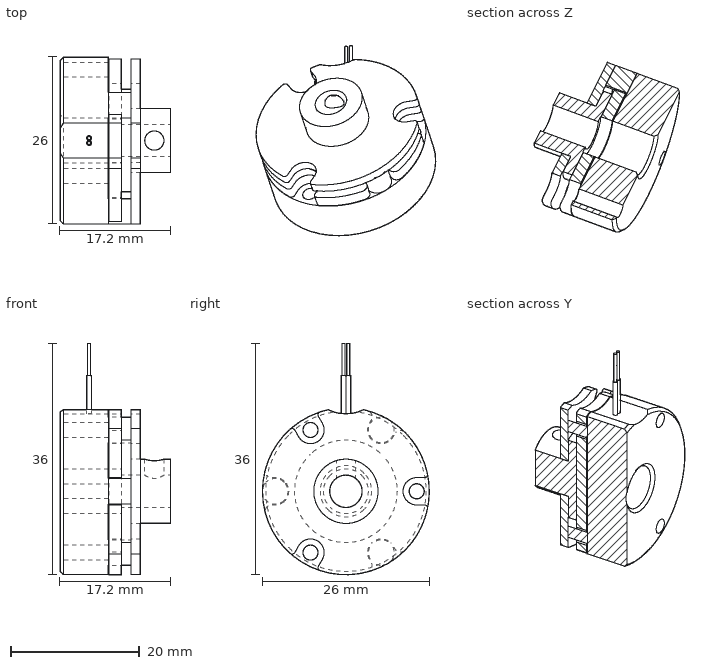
import cadquery as cq
import math


housing_length = 7.5
air_gap = 0.1
armature_back = 9.5
plate_front = 11.0
plate_back = 12.5
hub_end = 17.17

outer_radius = 13.0
bolt_radius = 11.0
bolt_angles = [0, 120, 240]
spacer_angles = [60, 180, 300]

groove_radius = 6.0
groove_axis_z = 18.07

housing_chamfer = 0.5
housing_bore_diameter = 7.0
bolt_hole_diameter = 2.3

slot_half_width = 2.12
bolt_slot_fillet = 0.5
spacer_slot_fillet = 1.0

spacer_diameter = 4.0

disc_diameter = 16.0
hub_diameter = 10.0
shaft_bore_diameter = 5.0
set_screw_diameter = 3.0
set_screw_x = 14.65

sleeve_diameter = 0.75
core_diameter = 0.5
wire_x = 4.5
sleeve_top = 18.0
core_top = 36 - outer_radius


def disc(start, end, radius):
    """Cylinder on the brake axis between two stations."""
    return cq.Workplane("YZ", origin=(start, 0, 0)).circle(radius).extrude(end - start)


def polar(radius, angle):
    """Y and Z of a point at an angle from +Y."""
    return radius * math.cos(math.radians(angle)), radius * math.sin(math.radians(angle))


def cable_groove():
    """Cutter for the shallow groove along the top."""
    groove = cq.Workplane("YZ").center(0, groove_axis_z).circle(groove_radius)
    return groove.extrude(plate_back)


def rim_slot(angle, fillet):
    """Cutter for a round-bottomed radial slot with its mouth rounded into the rim."""
    mouth_angle = math.asin((slot_half_width + fillet) / (outer_radius - fillet))
    fillet_depth = (outer_radius - fillet) * math.cos(mouth_angle)
    fillet_side = slot_half_width + fillet
    rim_depth = outer_radius * math.cos(mouth_angle)
    rim_side = outer_radius * math.sin(mouth_angle)
    half_turn = (math.pi / 2 - mouth_angle) / 2
    mid_depth = fillet_depth + fillet * math.sin(half_turn)
    mid_side = fillet_side - fillet * math.cos(half_turn)
    outside = outer_radius + fillet

    outline = (
        cq.Workplane("YZ")
        .moveTo(bolt_radius, -slot_half_width)
        .threePointArc((bolt_radius - slot_half_width, 0), (bolt_radius, slot_half_width))
        .lineTo(fillet_depth, slot_half_width)
        .threePointArc((mid_depth, mid_side), (rim_depth, rim_side))
        .lineTo(outside, rim_side)
        .lineTo(outside, -rim_side)
        .lineTo(rim_depth, -rim_side)
        .threePointArc((mid_depth, -mid_side), (fillet_depth, -slot_half_width))
        .close()
    )
    return outline.extrude(plate_back).rotate((0, 0, 0), (1, 0, 0), angle)


def slotted_plate(start, end, bore_diameter):
    """Ring with the cable groove and a slot in line with each bolt hole."""
    plate = disc(start, end, outer_radius)
    plate = plate.cut(disc(start, end, bore_diameter / 2))
    plate = plate.cut(cable_groove())
    for angle in bolt_angles:
        plate = plate.cut(rim_slot(angle, bolt_slot_fillet))
    return plate


def make_housing():
    """Round magnet housing with a through bore and three bolt holes."""
    body = disc(0, housing_length, outer_radius).faces("<X").chamfer(housing_chamfer)
    body = body.cut(disc(0, housing_length, housing_bore_diameter / 2))
    bore_rim = cq.selectors.RadiusNthSelector(0)
    body = body.faces("<X").edges(bore_rim).chamfer(housing_chamfer)
    bolt_points = [polar(bolt_radius, angle) for angle in bolt_angles]
    bolt_holes = cq.Workplane("YZ").pushPoints(bolt_points).circle(bolt_hole_diameter / 2)
    body = body.cut(bolt_holes.extrude(housing_length))
    return body.cut(cable_groove())


def make_armature():
    """Sliding plate with extra rim slots that clear the spacers."""
    armature = slotted_plate(housing_length + air_gap, armature_back, housing_bore_diameter)
    for angle in spacer_angles:
        armature = armature.cut(rim_slot(angle, spacer_slot_fillet))
    return armature


def make_rotor():
    """Friction disc and hub in one piece."""
    rotor = disc(armature_back, plate_front, disc_diameter / 2)
    rotor = rotor.union(disc(plate_front, hub_end, hub_diameter / 2))
    rotor = rotor.cut(disc(armature_back, hub_end, shaft_bore_diameter / 2))
    set_screw = cq.Workplane("XY").center(set_screw_x, 0).circle(set_screw_diameter / 2)
    return rotor.cut(set_screw.extrude(hub_diameter))


def make_spacer(angle):
    """Round post between the housing and the end plate."""
    spacer = cq.Workplane("YZ", origin=(housing_length, *polar(bolt_radius, angle)))
    return spacer.circle(spacer_diameter / 2).extrude(plate_front - housing_length)


def make_wire(side, housing):
    """Sleeved wire standing on the groove floor, its foot shaped to the groove."""
    groove_floor = groove_axis_z - groove_radius
    wire_y = side * sleeve_diameter / 2
    base = cq.Workplane("XY", origin=(wire_x, wire_y, groove_floor))
    sleeve = base.circle(sleeve_diameter / 2).extrude(sleeve_top - groove_floor)
    core = base.circle(core_diameter / 2).extrude(core_top - groove_floor)
    return sleeve.union(core).cut(housing)


housing = make_housing()
armature = make_armature()
rotor = make_rotor()
end_plate = slotted_plate(plate_front, plate_back, hub_diameter)
spacers = [make_spacer(angle) for angle in spacer_angles]
wires = [make_wire(side, housing) for side in (-1, 1)]

result = cq.Compound.makeCompound([
    housing.val(),
    armature.val(),
    rotor.val(),
    end_plate.val(),
    *[spacer.val() for spacer in spacers],
    *[wire.val() for wire in wires],
])